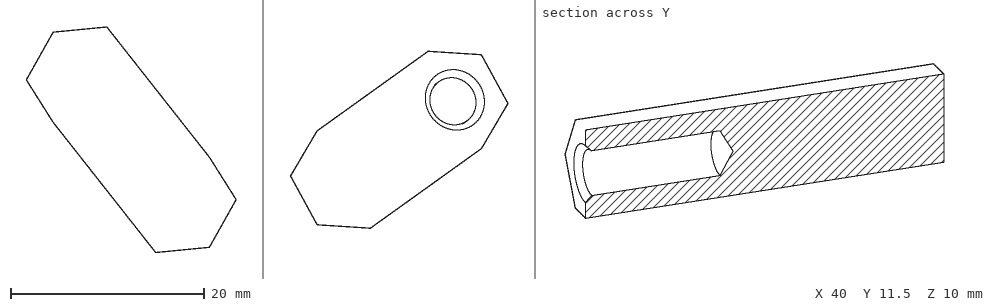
import cadquery as cq
import math

length = 40.0
across_flats = 10.0
edge_radius = 0.1

hole_diameter = 5.0
hole_depth = 15.0
drill_tip_angle = 120.0
countersink_diameter = 6.4
countersink_angle = 90.0


def cone_height(radius_change, included_angle):
    """Axial length over which a cone's radius changes by the given amount."""
    return radius_change / math.tan(math.radians(included_angle / 2))


def hex_bar():
    """Hexagonal bar with two flats facing +Z and -Z and all edges rounded."""
    across_corners = across_flats / math.cos(math.pi / 6)
    bar = cq.Workplane("YZ").polygon(6, across_corners).extrude(length)
    return bar.edges().fillet(edge_radius)


def countersunk_hole():
    """Solid of revolution about X that cuts the hole, from its mouth at X = 0 to the tip."""
    hole_radius = hole_diameter / 2
    mouth_radius = countersink_diameter / 2
    countersink_depth = cone_height(mouth_radius - hole_radius, countersink_angle)
    tip_depth = hole_depth + cone_height(hole_radius, drill_tip_angle)
    half_profile = (
        cq.Workplane("XY")
        .lineTo(0, mouth_radius)
        .lineTo(countersink_depth, hole_radius)
        .lineTo(hole_depth, hole_radius)
        .lineTo(tip_depth, 0)
        .close()
    )
    return half_profile.revolve(360, (0, 0, 0), (1, 0, 0))


result = hex_bar().cut(countersunk_hole())